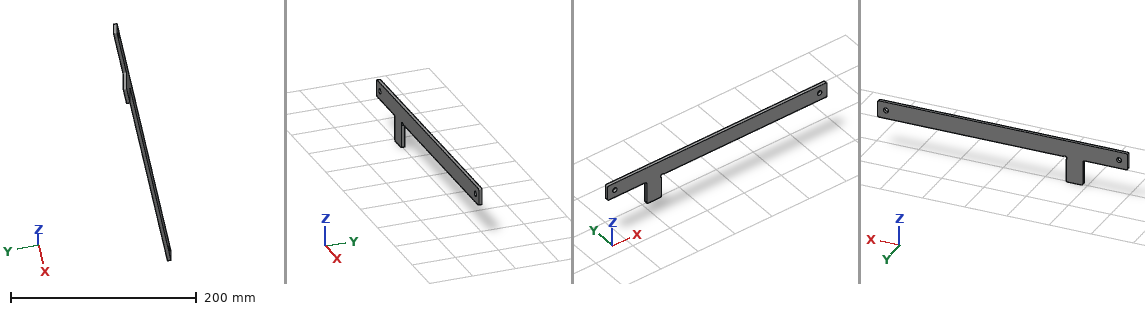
import cadquery as cq

length = 296.5
thickness = 4.0
height = 50.0
bar_height = 20.0
stem_left = 53.0
stem_width = 20.0
corner_radius = 2.0
hole_diameter = 5.5
hole_inset = 10.0
relief_radius = 2.5
relief_offset = 1.5

bar_bottom = height - bar_height
stem_right = stem_left + stem_width


def plate(x_start, z_start, width, tall):
    """Rectangular plate lying in the XZ plane, with its front face at Y = 0."""
    return cq.Workplane("XY").box(width, thickness, tall, centered=False).translate((x_start, 0, z_start))


def through_cylinder(x, z, radius):
    """Cylinder along Y through the full thickness."""
    return cq.Workplane("XZ").center(x, z).circle(radius).extrude(-thickness)


blank = plate(0, bar_bottom, length, bar_height).union(plate(stem_left, 0, stem_width, bar_bottom))

right_inside_corner = cq.selectors.BoxSelector(
    (stem_right - corner_radius, -thickness, bar_bottom - corner_radius),
    (stem_right + corner_radius, 2 * thickness, bar_bottom + corner_radius),
)
edges_along_y = cq.selectors.ParallelDirSelector(cq.Vector(0, 1, 0))
rounded_edges = cq.selectors.SubtractSelector(edges_along_y, right_inside_corner)
result = blank.edges(rounded_edges).fillet(corner_radius)

result = result.cut(through_cylinder(stem_right + relief_offset, bar_bottom - relief_offset, relief_radius))

for hole_x in (hole_inset, length - hole_inset):
    result = result.cut(through_cylinder(hole_x, bar_bottom + bar_height / 2, hole_diameter / 2))